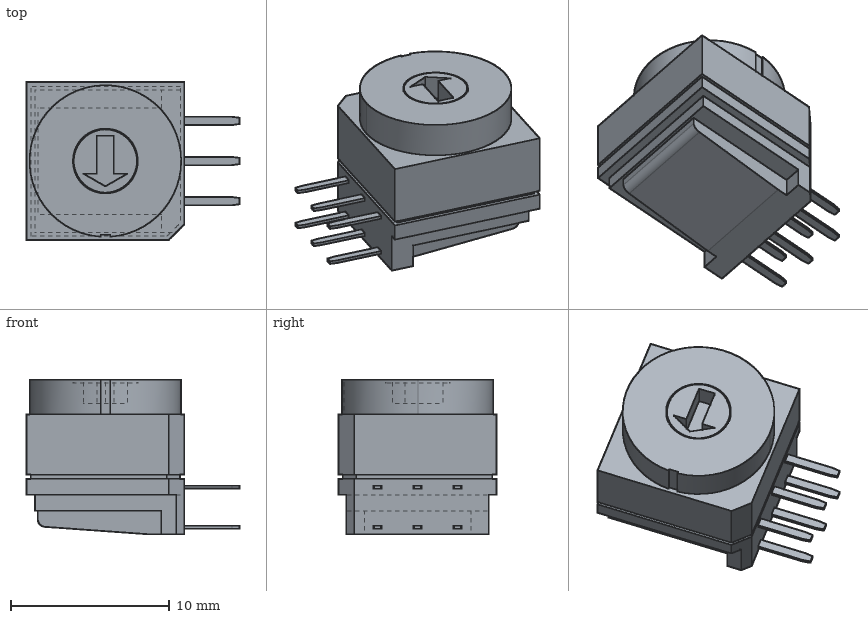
import cadquery as cq
import math


body_width = 10.0
corner_chamfer = 1.0
foot_top = 1.5
base_top = 2.5
flange_top = 3.52
body_bottom = 3.8
body_top = 7.6
overall_height = 9.8
neck_inset = 0.27
base_side_inset = 0.49
base_left_inset = 0.54
half_width = body_width / 2

foot_inset = 0.72
foot_width = 6.75
end_wall_thickness = 1.47
slope_end_x = 2.8
slope_angle = 4.1
foot_radius = 0.5

dial_diameter = 9.6
notch_width = 0.6
notch_depth = 0.12
ring_outer_diameter = 4.1
ring_inner_diameter = 4.0
ring_depth = 0.2

arrow_length = 3.2
arrow_head_length = 0.8
arrow_head_width = 2.78
arrow_stem_width = 1.07
arrow_depth = 1.5

overall_length = 13.5
pin_pitch = 2.54
pin_width = 0.54
pin_tip_width = 0.4
pin_tip_length = 0.5
pin_thickness = 0.2
pin_root_length = 0.27
lower_row_z = 0.46
pin_end_x = overall_length - half_width


def block(x_min, x_max, width, z_min, z_max):
    """Box spanning the given X and Z ranges, centred on Y = 0."""
    return (
        cq.Workplane("XY", origin=((x_min + x_max) / 2, 0, z_min))
        .rect(x_max - x_min, width)
        .extrude(z_max - z_min)
    )


def make_neck():
    """Recessed band between flange and body; its chamfer keeps the same inset as its sides."""
    neck_width = body_width - 2 * neck_inset
    neck_chamfer = corner_chamfer - neck_inset * (2 - math.sqrt(2))
    neck = block(-neck_width / 2, neck_width / 2, neck_width, flange_top, body_bottom)
    return neck.edges("|Z and >X and <Y").chamfer(neck_chamfer)


def make_foot_pad():
    """Pad below the base with a sloped underside and a rounded free edge."""
    left = foot_inset - half_width
    right = half_width - end_wall_thickness
    left_z = (slope_end_x - left) * math.tan(math.radians(slope_angle))
    pad = (
        cq.Workplane("XZ")
        .polyline([(left, foot_top), (left, left_z), (slope_end_x, 0), (right, 0), (right, foot_top)])
        .close()
        .extrude(foot_width / 2, both=True)
    )
    return pad.edges("|Y and <X").edges("<Z").fillet(foot_radius)


def make_housing():
    """Stepped housing with one vertical corner cut off over the full height."""
    base_width = body_width - 2 * base_side_inset
    housing = block(-half_width, half_width, body_width, body_bottom, body_top)
    housing = housing.union(block(-half_width, half_width, body_width, base_top, flange_top))
    housing = housing.union(block(base_left_inset - half_width, half_width, base_width, foot_top, base_top))
    housing = housing.union(block(half_width - end_wall_thickness, half_width, base_width, 0, foot_top))
    corner = (
        cq.Workplane("XY")
        .moveTo(half_width, -half_width)
        .lineTo(half_width, corner_chamfer - half_width)
        .lineTo(half_width - corner_chamfer, -half_width)
        .close()
        .extrude(body_top)
    )
    return housing.cut(corner).union(make_neck()).union(make_foot_pad())


def make_arrow():
    """Arrow prism that cuts the screwdriver slot."""
    tip_y = -arrow_length / 2
    head_y = tip_y + arrow_head_length
    half_stem = arrow_stem_width / 2
    half_head = arrow_head_width / 2
    return (
        cq.Workplane("XY", origin=(0, 0, overall_height - arrow_depth))
        .moveTo(0, tip_y)
        .lineTo(half_head, head_y)
        .lineTo(half_stem, head_y)
        .lineTo(half_stem, arrow_length / 2)
        .lineTo(-half_stem, arrow_length / 2)
        .lineTo(-half_stem, head_y)
        .lineTo(-half_head, head_y)
        .close()
        .extrude(arrow_depth)
    )


def make_dial():
    """Round dial with an index notch, a ring groove and the arrow slot."""
    dial_height = overall_height - body_top
    dial = cq.Workplane("XY", origin=(0, 0, body_top)).circle(dial_diameter / 2).extrude(dial_height)
    notch = (
        cq.Workplane("XY", origin=(0, -dial_diameter / 2, body_top))
        .rect(notch_width, 2 * notch_depth)
        .extrude(dial_height)
    )
    ring = (
        cq.Workplane("XY", origin=(0, 0, overall_height - ring_depth))
        .circle(ring_outer_diameter / 2)
        .circle(ring_inner_diameter / 2)
        .extrude(ring_depth)
    )
    return dial.cut(notch).cut(ring).cut(make_arrow())


def make_pin(y, z):
    """Flat pin along +X with a tapered tip; its root is embedded in the housing."""
    shoulder_x = pin_end_x - pin_tip_length
    root_x = half_width - pin_root_length
    return (
        cq.Workplane("XY", origin=(0, y, z - pin_thickness / 2))
        .moveTo(root_x, -pin_width / 2)
        .lineTo(shoulder_x, -pin_width / 2)
        .lineTo(pin_end_x, -pin_tip_width / 2)
        .lineTo(pin_end_x, pin_tip_width / 2)
        .lineTo(shoulder_x, pin_width / 2)
        .lineTo(root_x, pin_width / 2)
        .close()
        .extrude(pin_thickness)
    )


result = make_housing().union(make_dial())
for pin_z in (lower_row_z, lower_row_z + pin_pitch):
    for pin_y in (-pin_pitch, 0, pin_pitch):
        result = result.union(make_pin(pin_y, pin_z))